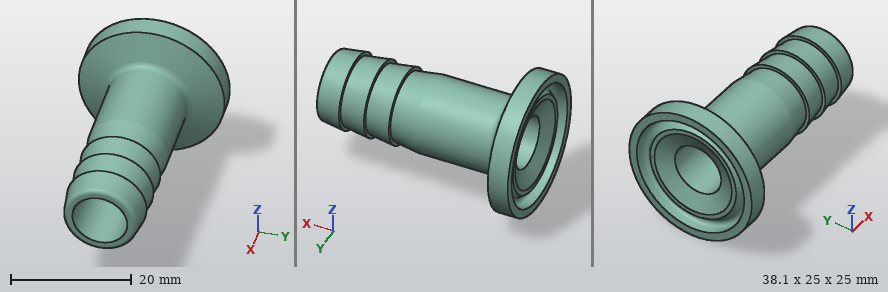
import cadquery as cq
import math

length = 38.1
bore_radius = 9.4 / 2
body_radius = 13.7 / 2

flange_radius = 25.0 / 2
flange_rim_thickness = 3.65
flange_back_angle = math.radians(20)
neck_fillet = 1.15

barb_count = 4
barb_pitch = 4.57
barb_root_radius = 6.2
tip_fillet = 0.75

groove_outer_radius = 21.9 / 2
groove_wall_depth = 1.4
groove_round = 0.75
land_outer_radius = 8.75
land_inner_radius = 7.9
land_depth = 0.75
bore_mouth_depth = 2.17


def revolve_about_x(profile):
    """Turn a closed (X, radius) outline a full turn about the X axis."""
    return profile.close().revolve(360, (0, 0, 0), (1, 0, 0))


def outer_body():
    """Flange, filleted neck, plain shank and sawtooth barbs as one solid."""
    neck_x = flange_rim_thickness + (flange_radius - body_radius) * math.tan(flange_back_angle)
    profile = (
        cq.Workplane("XY")
        .lineTo(0, flange_radius)
        .lineTo(flange_rim_thickness, flange_radius)
        .lineTo(neck_x, body_radius)
    )
    first_barb_x = length - barb_count * barb_pitch
    for barb in range(barb_count):
        barb_x = first_barb_x + barb * barb_pitch
        profile = profile.lineTo(barb_x, body_radius)
        profile = profile.lineTo(barb_x + barb_pitch, barb_root_radius)
    body = revolve_about_x(profile.lineTo(length, 0))

    neck_edge = cq.selectors.NearestToPointSelector((neck_x, 0, 0))
    body = body.edges(neck_edge).fillet(neck_fillet)
    return body.faces(">X").edges().fillet(tip_fillet)


def bore():
    """Through bore with a conical mouth that opens to the land."""
    return revolve_about_x(
        cq.Workplane("XY")
        .lineTo(0, land_inner_radius)
        .lineTo(land_depth, land_inner_radius)
        .lineTo(bore_mouth_depth, bore_radius)
        .lineTo(length, bore_radius)
        .lineTo(length, 0)
    )


def face_recess():
    """Recess over the land, with a round-bottomed groove around it.

    The groove's inner wall is the line from the land's outer edge that is tangent to the round bottom.
    """
    center_x = groove_wall_depth
    center_r = groove_outer_radius - groove_round
    reach_x = center_x - land_depth
    reach_r = center_r - land_outer_radius
    to_land = math.atan2(-reach_r, -reach_x)
    tangent = to_land + math.acos(groove_round / math.hypot(reach_x, reach_r))
    return revolve_about_x(
        cq.Workplane("XY")
        .lineTo(0, groove_outer_radius)
        .lineTo(groove_wall_depth, groove_outer_radius)
        .threePointArc(
            (center_x + groove_round, center_r),
            (
                center_x + groove_round * math.cos(tangent),
                center_r + groove_round * math.sin(tangent),
            ),
        )
        .lineTo(land_depth, land_outer_radius)
        .lineTo(land_depth, 0)
    )


result = outer_body().cut(bore()).cut(face_recess())